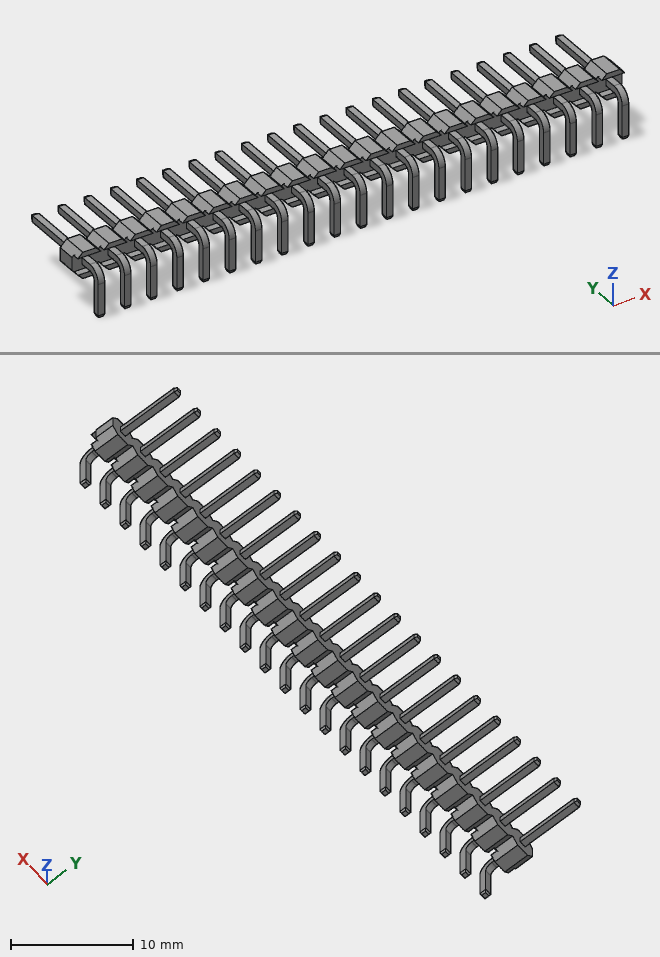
import cadquery as cq

row_length = 53.35
pin_count = 21
pitch = row_length / pin_count

body_height = 2.55
body_depth = 2.45
flank = 0.65
recess_depth = 0.65
recess_height = 1.6

pin_width = 0.65
pin_back_reach = 6.05
pin_front_reach = 1.85
pin_drop = 4.25
bend_inner_radius = 0.65
tip_length = 0.25
tip_width = 0.45

half_pin = pin_width / 2
bend_radius = bend_inner_radius + half_pin
leg_y = half_pin - pin_front_reach
bend_start_y = leg_y + bend_radius
tail_tip_y = body_depth + pin_back_reach
pin_positions = [(i - (pin_count - 1) / 2) * pitch for i in range(pin_count)]


def make_body():
    """Row of chamfered segments, joined by their side faces."""
    half_height = body_height / 2
    half_pitch = pitch / 2
    side_half_height = half_height - flank
    flat_half_width = half_pitch - flank

    upper = [(-row_length / 2, side_half_height)]
    for x in pin_positions:
        upper.append((x - flat_half_width, half_height))
        upper.append((x + flat_half_width, half_height))
        upper.append((x + half_pitch, side_half_height))
    lower = [(x, -z) for x, z in reversed(upper)]

    body = cq.Workplane("XZ").polyline(upper + lower).close().extrude(-body_depth)
    recess = cq.Workplane("XY").box(
        row_length, recess_depth, recess_height, centered=(True, False, True)
    )
    return body.cut(recess)


def tapered_tip(base_plane):
    """Four-sided pin point, growing along the plane's normal."""
    return (
        cq.Workplane(base_plane)
        .rect(pin_width, pin_width)
        .workplane(offset=tip_length)
        .rect(tip_width, tip_width)
        .loft(ruled=True)
    )


def make_pin():
    """Square pin on X = 0, bent down at the front and pointed at both ends."""
    tail_end = cq.Vector(0, tail_tip_y - tip_length, 0)
    leg_end = cq.Vector(0, leg_y, tip_length - pin_drop)
    tail_plane = cq.Plane(origin=tail_end, xDir=(1, 0, 0), normal=(0, 1, 0))
    leg_plane = cq.Plane(origin=leg_end, xDir=(1, 0, 0), normal=(0, 0, -1))

    path = (
        cq.Workplane("YZ")
        .moveTo(tail_end.y, 0)
        .lineTo(bend_start_y, 0)
        .tangentArcPoint((leg_y, -bend_radius), relative=False)
        .lineTo(leg_y, leg_end.z)
    )
    shank = cq.Workplane(tail_plane).rect(pin_width, pin_width).sweep(path)
    return shank.union(tapered_tip(tail_plane)).union(tapered_tip(leg_plane))


pin = make_pin()
result = make_body()
for pin_x in pin_positions:
    result = result.union(pin.translate((pin_x, 0, 0)))